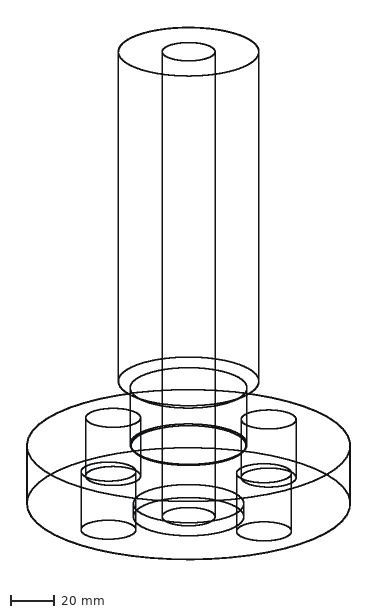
import cadquery as cq

total_height = 228.5

flange_diameter = 149.3
flange_thickness = 28.5
raised_face_diameter = 51.0
raised_face_height = 6.5

neck_diameter = 54.0
neck_root_chamfer = 0.5
neck_root_chamfer_height = 0.7
barrel_diameter = 65.0
barrel_length = 162.0
shoulder_chamfer_height = 3.2

bore_diameter = 24.5
bolt_hole_diameter = 25.4
bolt_circle_diameter = 101.5
bolt_count = 4

flange_top = raised_face_height + flange_thickness
barrel_bottom = total_height - barrel_length
shoulder_bottom = barrel_bottom - shoulder_chamfer_height


def revolved_body():
    """Solid of revolution about Z: raised face, flange, neck, tapered shoulder and barrel."""
    return (
        cq.Workplane("XZ")
        .moveTo(0, 0)
        .lineTo(raised_face_diameter / 2, 0)
        .lineTo(raised_face_diameter / 2, raised_face_height)
        .lineTo(flange_diameter / 2, raised_face_height)
        .lineTo(flange_diameter / 2, flange_top)
        .lineTo(neck_diameter / 2 - neck_root_chamfer, flange_top)
        .lineTo(neck_diameter / 2, flange_top + neck_root_chamfer_height)
        .lineTo(neck_diameter / 2, shoulder_bottom)
        .lineTo(barrel_diameter / 2, barrel_bottom)
        .lineTo(barrel_diameter / 2, total_height)
        .lineTo(0, total_height)
        .close()
        .revolve(360, (0, 0), (0, 1))
    )


def bore():
    """Cylinder that opens the part along its whole axis."""
    return cq.Workplane("XY").circle(bore_diameter / 2).extrude(total_height)


def bolt_holes():
    """Cylinders for the bolt holes, one on each side of X and Y."""
    return (
        cq.Workplane("XY")
        .polarArray(bolt_circle_diameter / 2, 0, 360, bolt_count)
        .circle(bolt_hole_diameter / 2)
        .extrude(flange_top)
    )


result = revolved_body().cut(bore()).cut(bolt_holes())